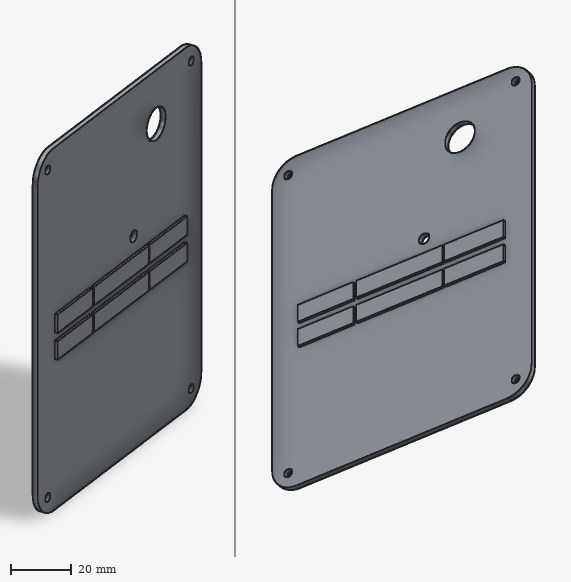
import cadquery as cq

plate_thickness = 2.0
plate_width = 105.0
plate_height = 135.0
corner_radius = 10.0

corner_hole_diameter = 3.2
corner_hole_inset = 6.5
corner_hole_y = plate_width / 2 - corner_hole_inset
corner_hole_z = plate_height / 2 - corner_hole_inset
large_hole_diameter = 12.0
large_hole_y = 23.5
large_hole_z = 47.5
small_hole_diameter = 4.2
small_hole_y = 9.0
small_hole_z = 12.0

pad_height = 1.0
pad_row_height = 6.9
pad_row_tops = [5.3, -4.6]
pad_y_ranges = [(-41.4, -19.0), (-17.8, 17.0), (17.8, 41.8)]


def make_plate():
    """Rectangular plate with rounded corners, centred on Y and Z."""
    return (
        cq.Workplane("YZ")
        .rect(plate_width, plate_height)
        .extrude(plate_thickness)
        .edges("|X")
        .fillet(corner_radius)
    )


def cut_hole(body, diameter, y, z):
    """Cut a round hole through the plate thickness at (y, z)."""
    cutter = cq.Workplane("YZ").center(y, z).circle(diameter / 2).extrude(plate_thickness)
    return body.cut(cutter)


def make_pad(y_start, y_end, z_top):
    """Block running from X = 0 through the plate to the top of one raised pad."""
    size_x = plate_thickness + pad_height
    size_y = y_end - y_start
    block = cq.Workplane("XY").box(size_x, size_y, pad_row_height, centered=False)
    return block.translate((0, y_start, z_top - pad_row_height))


result = make_plate()

for side_y in (-1, 1):
    for side_z in (-1, 1):
        result = cut_hole(result, corner_hole_diameter, side_y * corner_hole_y, side_z * corner_hole_z)

result = cut_hole(result, large_hole_diameter, large_hole_y, large_hole_z)
result = cut_hole(result, small_hole_diameter, small_hole_y, small_hole_z)

for row_top in pad_row_tops:
    for pad_start, pad_end in pad_y_ranges:
        result = result.union(make_pad(pad_start, pad_end, row_top))